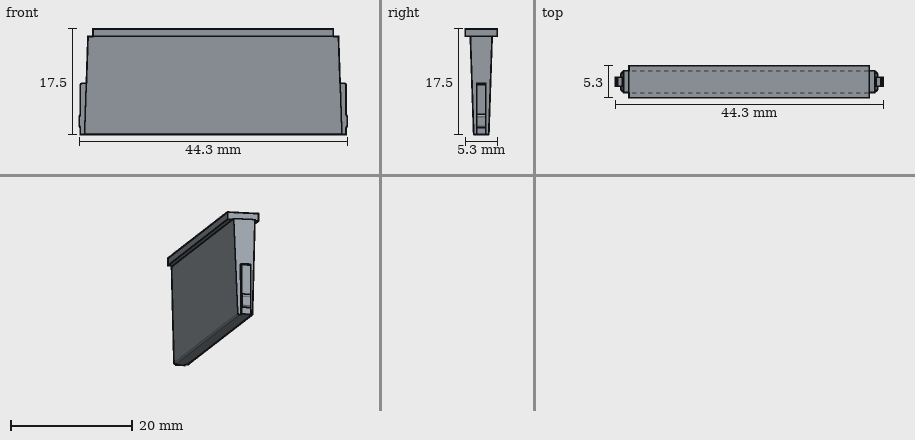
import cadquery as cq

cap_length = 39.75
cap_width = 5.3
cap_thickness = 1.25

total_height = 17.5
body_height = total_height - cap_thickness
body_top_length = 41.45
body_top_width = 3.65
body_bottom_length = 42.55
body_bottom_width = 2.53
bottom_radius = 0.25

overall_length = 44.3
bump_depth = 0.18
rail_length = overall_length - 2 * bump_depth
rail_width = 1.5
rail_height = 8.5
rail_chamfer = 0.2
bump_bottom = 1.1
bump_face_bottom = 1.4
bump_face_top = 3.0
bump_top = 3.35
bump_radius = 0.2


def make_body():
    """Loft the tapered body and round its two long bottom edges."""
    body = (
        cq.Workplane("XY")
        .rect(body_bottom_length, body_bottom_width)
        .workplane(offset=body_height)
        .rect(body_top_length, body_top_width)
        .loft(ruled=True)
    )
    return body.faces("<Z").edges("|X").fillet(bottom_radius)


def make_cap():
    """Flat plate that overhangs the body along Y."""
    return (
        cq.Workplane("XY")
        .workplane(offset=body_height)
        .rect(cap_length, cap_width)
        .extrude(cap_thickness)
    )


def make_rail(side):
    """Rail on the end given by side (-1 or 1), rooted in the body, with softened bump edges."""
    rail_face = side * rail_length / 2
    bump_face = side * overall_length / 2
    root = side * body_top_length / 2
    profile = [
        (root, 0),
        (rail_face, 0),
        (rail_face, bump_bottom),
        (bump_face, bump_face_bottom),
        (bump_face, bump_face_top),
        (rail_face, bump_top),
        (rail_face, rail_height - rail_chamfer),
        (rail_face - side * rail_chamfer, rail_height),
        (root, rail_height),
    ]
    rail = cq.Workplane("XZ").polyline(profile).close().extrude(rail_width / 2, both=True)
    outer_face = ">X" if side > 0 else "<X"
    return rail.faces(outer_face).edges("|Y").fillet(bump_radius)


result = make_body().union(make_cap())
for end in (-1, 1):
    result = result.union(make_rail(end))